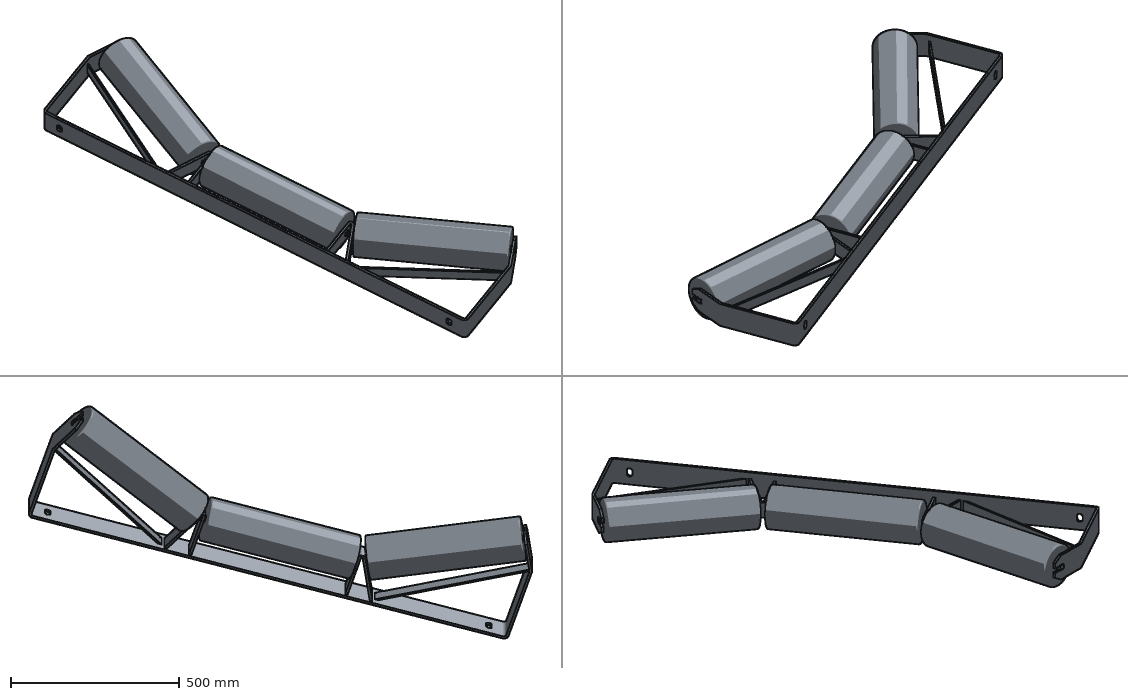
import cadquery as cq
import math


half_length = 745.0
bar_thickness = 8.0
bar_height = 80.0

roller_diameter = 134.0
roller_length = 465.0
rim_radius = 5.0
shaft_diameter = 20.0
shaft_flat_width = 15.0
shaft_overhang = 1.0
end_gap = 6.0
trough_angle = 25.0
center_roller_y = 127.0
side_roller_x = 481.0
side_roller_y = 234.0
inner_drop = 6.0

base_bend_radius = 15.0
wall_bend_radius = 9.0
tip_y = 367.0
slot_run_out = 45.0
tip_corner_length = 28.0
tip_corner_height = 16.0
mount_slot_x = 685.0
mount_slot_length = 27.0
mount_slot_width = 18.0

bracket_height = 50.0
bracket_top_y = 153.0
bracket_bend_radius = 7.0

brace_angle = 30.0
brace_foot_x = 331.0
brace_thickness = 6.0
brace_height = 36.0

axis_x = math.cos(math.radians(trough_angle))
axis_y = math.sin(math.radians(trough_angle))
plate_slope = axis_y / axis_x
plate_near = roller_length / 2 + end_gap
plate_middle = plate_near + bar_thickness / 2
plate_far = plate_near + bar_thickness
inner_wall_x = half_length - bar_thickness


def plate_x(offset, y):
    """X at height y of the line across the right roller axis, offset outward from its middle."""
    return side_roller_x + offset / axis_x - (y - side_roller_y) * plate_slope


def plate_y(offset, x):
    """Y of that same line at the given x."""
    return side_roller_y + (side_roller_x + offset / axis_x - x) / plate_slope


def flat_bar(outline, height):
    """Flat bar standing on edge, extruded equally to both sides of Z = 0."""
    return cq.Workplane("XY").polyline(outline).close().extrude(height / 2, both=True)


def round_bend(body, point, radius):
    """Round the upright edge of a bend at the given XY point."""
    edge = cq.selectors.NearestToPointSelector((point[0], point[1], 0))
    return body.edges("|Z").edges(edge).fillet(radius)


def mirror_points(points):
    """Mirror an outline across X = 0, in the order that continues it."""
    return [(-x, y) for x, y in reversed(points)]


def roller_plane(side):
    """Plane at a roller's middle and across its axis; local x lies along Z, local -y along the plates."""
    if side == 0:
        return cq.Plane((0, center_roller_y, -inner_drop), xDir=(0, 0, 1), normal=(1, 0, 0))
    axis_rise = side * inner_drop / (2 * plate_middle)
    return cq.Plane(
        (side * side_roller_x, side_roller_y, -inner_drop / 2),
        xDir=(0, 0, 1),
        normal=(axis_x, side * axis_y, axis_rise),
    )


def make_shaft(side):
    """Round bar with two flats, reaching just through the plates at both ends."""
    half_shaft = plate_far + shaft_overhang
    end = cq.Workplane(roller_plane(side)).workplane(offset=-half_shaft)
    rod = end.circle(shaft_diameter / 2).extrude(2 * half_shaft)
    flats = end.rect(shaft_flat_width, shaft_diameter).extrude(2 * half_shaft)
    return rod.intersect(flats)


def make_roller(side):
    """Shell and its shaft, as one solid."""
    shell_end = cq.Workplane(roller_plane(side)).workplane(offset=-roller_length / 2)
    shell = shell_end.circle(roller_diameter / 2).extrude(roller_length)
    shell = shell.faces("<X or >X").fillet(rim_radius)
    return shell.union(make_shaft(side))


def make_frame():
    """Symmetric bent bar with its bends, beveled tips, shaft slots and mounting slots."""
    tip_x = plate_x(plate_far, tip_y)
    base_corner = (half_length, 0)
    wall_corner = (half_length, plate_y(plate_far, half_length))
    inner_wall_corner = (inner_wall_x, plate_y(plate_near, inner_wall_x))
    inner_base_corner = (inner_wall_x, bar_thickness)
    inner_tip = (tip_x - bar_thickness * axis_x, tip_y - bar_thickness * axis_y)
    right_outer = [base_corner, wall_corner, (tip_x, tip_y)]
    right_inner = [inner_tip, inner_wall_corner, inner_base_corner]
    right = right_outer + right_inner
    frame = flat_bar(right + mirror_points(right), bar_height)

    bends = [
        (base_corner, base_bend_radius),
        (inner_base_corner, base_bend_radius - bar_thickness),
        (wall_corner, wall_bend_radius),
        (inner_wall_corner, wall_bend_radius - bar_thickness),
    ]
    for side in (-1, 1):
        for (x, y), radius in bends:
            frame = round_bend(frame, (side * x, y), radius)
        frame = cut_tip_corners(frame, side * tip_x, side)
        frame = cut_shaft_slot(frame, side)
        frame = cut_mount_slot(frame, side)
    return frame


def cut_shaft_slot(frame, side):
    """Slot from the shaft seat out through the free end of an inclined end plate."""
    slot_length = shaft_diameter / 2 + slot_run_out
    slot = (
        cq.Workplane(roller_plane(side))
        .workplane(offset=side * plate_middle)
        .center(0, shaft_diameter / 2 - slot_length / 2)
        .rect(shaft_flat_width, slot_length)
        .extrude(bar_thickness, both=True)
    )
    return frame.cut(slot)


def cut_tip_corners(frame, tip_x, side):
    """Bevel the two corners at the free end of an inclined end plate."""
    face = cq.Plane((tip_x, tip_y, 0), xDir=(0, 0, 1), normal=(side * axis_x, axis_y, 0))
    for edge in (-1, 1):
        corner = [
            (edge * bar_height / 2, 0),
            (edge * (bar_height / 2 - tip_corner_height), 0),
            (edge * bar_height / 2, side * tip_corner_length),
        ]
        bevel = cq.Workplane(face).polyline(corner).close().extrude(2 * bar_thickness, both=True)
        frame = frame.cut(bevel)
    return frame


def cut_mount_slot(frame, side):
    """Upright mounting slot through the base strap."""
    slot = (
        cq.Workplane("XZ")
        .center(side * mount_slot_x, 0)
        .slot2D(mount_slot_length, mount_slot_width, 90)
        .extrude(bar_thickness, both=True)
    )
    return frame.cut(slot)


def make_bracket(side):
    inner_top_y = bracket_top_y - bar_thickness
    slant_corner = (plate_x(-plate_near, bracket_top_y), bracket_top_y)
    upright_corner = (plate_near, bracket_top_y)
    outline = [
        (plate_near, bar_thickness),
        upright_corner,
        slant_corner,
        (plate_x(-plate_near, bar_thickness), bar_thickness),
        (plate_x(-plate_far, bar_thickness), bar_thickness),
        (plate_x(-plate_far, inner_top_y), inner_top_y),
        (plate_far, inner_top_y),
        (plate_far, bar_thickness),
    ]
    bracket = flat_bar(outline, bracket_height).translate((0, 0, -inner_drop))
    for bend in (upright_corner, slant_corner):
        bracket = round_bend(bracket, bend, bracket_bend_radius)
    if side < 0:
        bracket = bracket.mirror("YZ")
    for roller_side in (0, side):
        bracket = bracket.cut(make_shaft(roller_side))
    return bracket


def make_brace(side):
    rise = math.tan(math.radians(brace_angle))
    wall_y = bar_thickness + (inner_wall_x - brace_foot_x) * rise
    foot_width = brace_thickness / math.sin(math.radians(brace_angle))
    outline = [
        (brace_foot_x, bar_thickness),
        (brace_foot_x + foot_width, bar_thickness),
        (inner_wall_x, wall_y - foot_width * rise),
        (inner_wall_x, wall_y),
    ]
    brace = flat_bar(outline, brace_height)
    return brace if side > 0 else brace.mirror("YZ")


frame = make_frame()
rollers = [make_roller(side) for side in (-1, 0, 1)]
brackets = [make_bracket(side) for side in (-1, 1)]
braces = [make_brace(side) for side in (-1, 1)]

result = cq.Compound.makeCompound(
    [body.val() for body in [frame, *rollers, *brackets, *braces]]
)